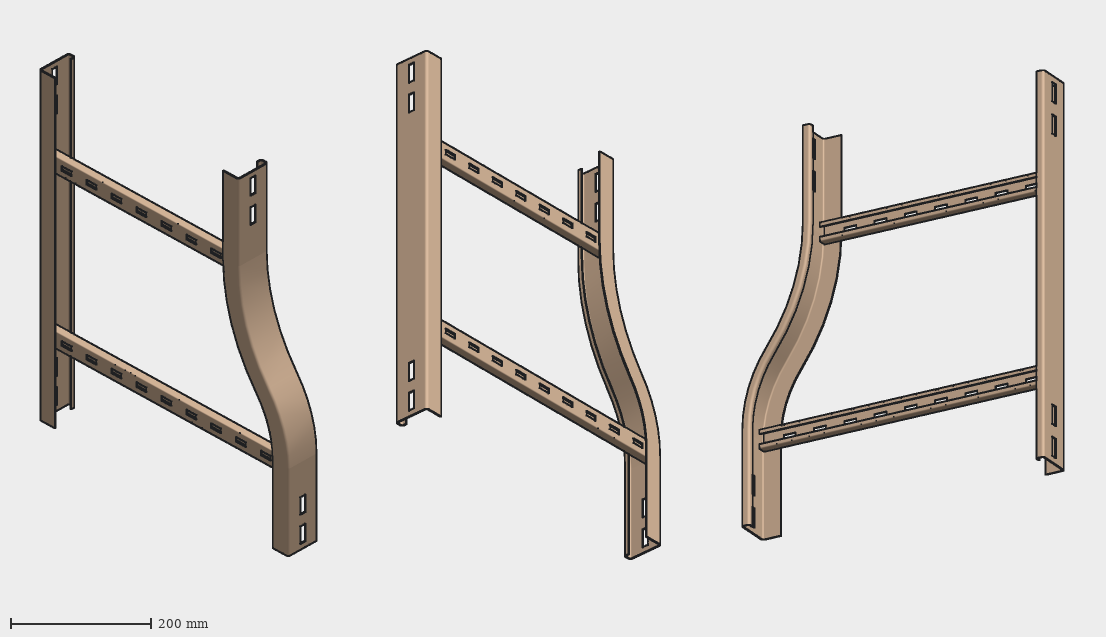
import cadquery as cq
import math

length = 600.0
wide_width = 1500 / 3
narrow_width = 1200 / 3
depth = 60.0

sheet = 2.0
bend_radius = 4.0
inner_radius = bend_radius - sheet
front_flange = 31.0
back_flange = 14.0
rail_lip = 9.0

straight_end = length / 4
curve_rise = length - 2 * straight_end
curve_shift = wide_width - narrow_width
radius_sum = (curve_rise**2 + curve_shift**2) / (2 * curve_shift)
lower_radius = 0.4 * radius_sum
upper_radius = radius_sum - lower_radius

hole_pitch = length / 12
rail_slot_length = 30.0
rail_slot_width = 10.0
rail_slots_per_end = 2
first_rail_slot = hole_pitch / 2

rung_height = 30.0
rung_depth = 15.0
rung_lip = 7.0
rung_edge_radius = 2.0
rung_gap = 5.0
rung_slot_length = 20.0
rung_slot_height = 8.0
first_rung_slot = 48.0


def rail_section():
    """Bent-sheet outline in the XY plane: web outside at X = 0, flanges toward +X."""
    lip_start = back_flange - bend_radius
    lip_inside = back_flange - sheet
    web_end = depth - bend_radius
    back_inside = depth - sheet
    return (
        cq.Workplane("XY")
        .moveTo(front_flange, 0)
        .lineTo(bend_radius, 0)
        .radiusArc((0, bend_radius), bend_radius)
        .lineTo(0, web_end)
        .radiusArc((bend_radius, depth), bend_radius)
        .lineTo(lip_start, depth)
        .radiusArc((back_flange, web_end), bend_radius)
        .lineTo(back_flange, depth - rail_lip)
        .lineTo(lip_inside, depth - rail_lip)
        .lineTo(lip_inside, web_end)
        .radiusArc((lip_start, back_inside), -inner_radius)
        .lineTo(bend_radius, back_inside)
        .radiusArc((sheet, web_end), -inner_radius)
        .lineTo(sheet, bend_radius)
        .radiusArc((bend_radius, sheet), -inner_radius)
        .lineTo(front_flange, sheet)
        .close()
    )


def arc_step(radius, angle):
    """X and Z travelled along an arc that starts out parallel to Z."""
    return radius * (1 - math.cos(angle)), radius * math.sin(angle)


def curved_path():
    """Web line of the curved rail in the XZ plane, stepping toward +X on the way up."""
    turn = math.asin(curve_rise / radius_sum)
    curve_top = length - straight_end
    lower_mid_x, lower_mid_z = arc_step(lower_radius, turn / 2)
    meeting_x, meeting_z = arc_step(lower_radius, turn)
    upper_mid_x, upper_mid_z = arc_step(upper_radius, turn / 2)
    return (
        cq.Workplane("XZ")
        .lineTo(0, straight_end)
        .threePointArc(
            (lower_mid_x, straight_end + lower_mid_z),
            (meeting_x, straight_end + meeting_z),
        )
        .threePointArc(
            (curve_shift - upper_mid_x, curve_top - upper_mid_z),
            (curve_shift, curve_top),
        )
        .lineTo(curve_shift, length)
    )


def make_rail(path, top_shift):
    """Slotted rail along a path in the XZ plane whose top end lies top_shift further along X."""
    rail = rail_section().sweep(path)
    slot = cq.Workplane("XY").box(2 * bend_radius, rail_slot_width, rail_slot_length)
    for count in range(rail_slots_per_end):
        from_end = first_rail_slot + count * hole_pitch
        rail = rail.cut(slot.translate((0, depth / 2, from_end)))
        rail = rail.cut(slot.translate((top_shift, depth / 2, length - from_end)))
    return rail


def rung_block(rung_length, y_size, z_size):
    """Box from X = 0 and Y = 0, centred on Z = 0."""
    return cq.Workplane("XY").box(rung_length, y_size, z_size, centered=(False, False, True))


def make_rung(level, ladder_width):
    """Lipped channel, open toward +Y, centred at height level where the ladder is ladder_width wide."""
    rung_length = ladder_width - 2 * rung_gap
    outer = rung_block(rung_length, rung_depth, rung_height).edges("|X").fillet(rung_edge_radius)
    hollow = rung_block(rung_length, rung_depth - 2 * sheet, rung_height - 2 * sheet)
    opening = rung_block(rung_length, rung_depth, rung_height - 2 * rung_lip)
    channel = outer.cut(hollow.translate((0, sheet, 0))).cut(opening.translate((0, sheet, 0)))

    slot_count = round(ladder_width / hole_pitch) - 1
    slot_centres = [(first_rung_slot + count * hole_pitch, 0) for count in range(slot_count)]
    slots = (
        cq.Workplane("XZ")
        .pushPoints(slot_centres)
        .rect(rung_slot_length, rung_slot_height)
        .extrude(-rung_depth)
    )
    return channel.cut(slots).translate((rung_gap, sheet, level))


straight_path = cq.Workplane("XZ").lineTo(0, length)
straight_rail = make_rail(straight_path, 0)

curved_rail = make_rail(curved_path(), curve_shift).mirror("YZ").translate((wide_width, 0, 0))

rungs = [
    make_rung(level, ladder_width)
    for level, ladder_width in (
        (straight_end, wide_width),
        (length - straight_end, narrow_width),
    )
]

result = cq.Compound.makeCompound([
    straight_rail.val(),
    curved_rail.val(),
    *[rung.val() for rung in rungs],
])